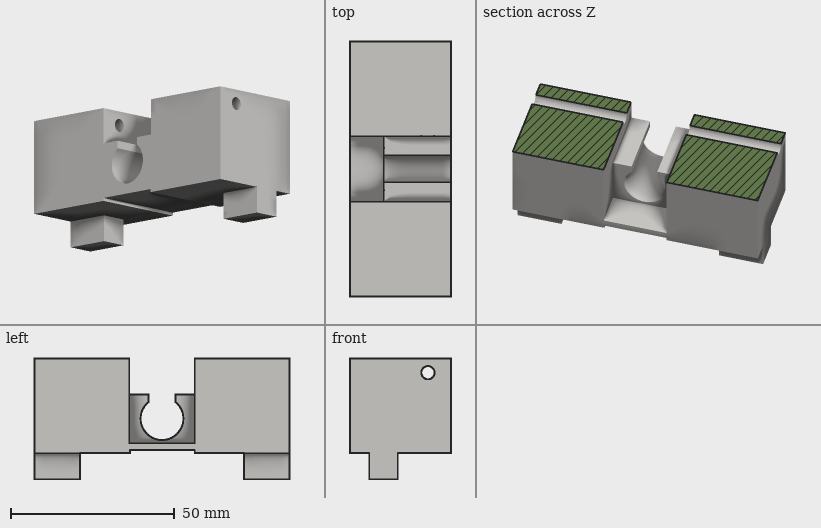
import cadquery as cq

width = 31.0
length = 78.0
total_height = 37.0

foot_height = 8.0
foot_width = 8.7
foot_length = 14.0
foot_inset = 5.9

block_height = total_height - foot_height
gap = 20.0
block_length = (length - gap) / 2

floor_top = 3.05
relief_depth = 0.9
relief_shortfall = 0.2

cradle_start = 10.4
cradle_top = 17.95
bore_diameter = 13.0
bore_height = 10.5
slot_width = 8.2

pin_diameter = 4.0
pin_x = 23.9
pin_drop = 4.4


def box(size_x, size_y, size_z, x, y, z):
    """Box with its minimum corner at (x, y, z)."""
    return cq.Workplane("XY").box(size_x, size_y, size_z, centered=False).translate((x, y, z))


def end_block(side):
    """Block with its foot; side is -1 for the -Y end and +1 for the +Y end."""
    block_y = side * (length - block_length) / 2 - block_length / 2
    foot_y = side * (length - foot_length) / 2 - foot_length / 2
    block = box(width, block_length, block_height, 0, block_y, 0)
    foot = box(foot_width, foot_length, foot_height, foot_inset, foot_y, -foot_height)
    return block.union(foot)


def floor():
    """Floor plate with a shallow relief along its underside."""
    plate = box(width, gap, floor_top, 0, -gap / 2, 0)
    relief = box(width, gap - relief_shortfall, relief_depth, 0, -gap / 2, 0)
    return plate.cut(relief)


def cradle():
    """Clip with a round bore along X and a narrower slot opening upwards."""
    depth = width - cradle_start
    body = box(depth, gap, cradle_top - floor_top, cradle_start, -gap / 2, floor_top)
    bore = (
        cq.Workplane("YZ", origin=(cradle_start, 0, bore_height))
        .circle(bore_diameter / 2)
        .extrude(depth)
    )
    slot = box(depth, slot_width, cradle_top - bore_height, cradle_start, -slot_width / 2, bore_height)
    return body.cut(bore).cut(slot)


def pin_hole():
    """Cylinder along the full length, near the top of the blocks."""
    return (
        cq.Workplane("XZ", origin=(pin_x, length / 2, block_height - pin_drop))
        .circle(pin_diameter / 2)
        .extrude(length)
    )


result = end_block(-1).union(end_block(1)).union(floor()).union(cradle()).cut(pin_hole())